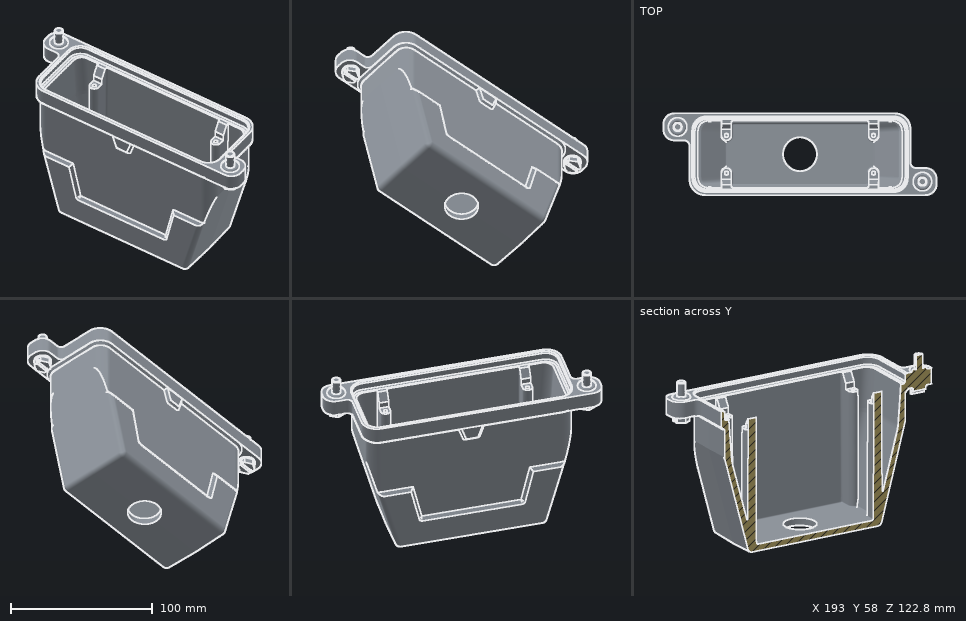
import cadquery as cq
import math


flange_x = 156.1
flange_y = 57.9
flange_height = 12.2
flange_corner = 11.2
flare_height = 2.3

ear_end_x = 96.5
ear_width = 19.3
ear_corner = 8.0
ear_neck_fillet = 3.9
screw_x = 86.37
screw_y = flange_y / 2 - ear_width / 2

shell_x = 151.0
shell_y = 53.3
shell_corner = 8.9
outside_draft = 1.0
bend_z = -35.0
bottom_z = -111.0
bottom_x = 110.0

skirt_y = 58.0
skirt_depth = (skirt_y - shell_y) / 2
skirt_edge_fillet = 3.9
notch_slope = 47
skirt_shoulder_z = -58.5
skirt_overlap = 0.5
skirt_notch_z = -86.0
notch_top_x = 85.3
notch_bottom_x = 72.5

tab_top_x = 21.6
tab_bottom_x = 11.5
tab_top_z = -flange_height + 2.3
tab_bottom_z = -24.3
tab_corner = 2.3
tab_depth = 2.1
tab_bevel = 2.1

recess_x = 150.5
recess_y = 51.7
recess_corner = 9.3
recess_depth = 7.5
recess_rim_chamfer = 1.0
recess_foot_bevel = 1.2
cavity_x = 144.0
cavity_y = 47.0
cavity_corner = 7.0
cavity_bend_x = 139.7
cavity_bend_z = -39.5
cavity_bend_fillet = 19.3
floor_x = 105.8
floor_y = 44.0
floor_z = -105.2
floor_fillet = 1.2
cable_hole_diameter = 23.7

post_x = 52.0
post_hole_y = 13.3
post_radius = 3.5
post_foot_radius = 3.9
post_root_fillet = 1.2
post_seat_z = -19.0
post_hook_y = 17.5
post_hook_low_z = -14.3
post_hook_peak_y = 21.6
post_hook_peak_z = -recess_depth
post_hole_diameter = 2.7
post_hole_depth = 9.6

shank_diameter = 6.2
shank_top_z = 11.8
shank_chamfer = 0.5
seal_ring_diameter = 9.5
seal_cord_diameter = 3.7
head_washer_diameter = 12.4
head_washer_thickness = 0.8
head_flats = 10.6
head_bottom_z = -17.5
head_slot_width = 2.0
head_slot_depth = 2.5


def rounded_box(size_x, size_y, corner, top_z, base_z):
    """Upright box with rounded vertical edges."""
    return (
        cq.Workplane("XY", origin=(0, 0, base_z))
        .rect(size_x, size_y)
        .extrude(top_z - base_z)
        .edges("|Z")
        .fillet(corner)
    )


def along_y(points, width):
    """Closed X-Z outline extruded symmetrically across Y."""
    return cq.Workplane("XZ").polyline(points).close().extrude(width / 2, both=True)


def towards_front(sketch, start_y, depth, taper):
    """X-Z sketch extruded in the -Y direction, narrowing by the taper angle."""
    return cq.Workplane("XZ", origin=(0, start_y, 0)).placeSketch(sketch).extrude(depth, taper=taper)


def mirrored_outline(half_points):
    """Closed outline from its +X half, listed from top to bottom."""
    return half_points + [(-x, z) for x, z in reversed(half_points)]


def closed(points):
    """Outline with its first point repeated at the end."""
    return points + points[:1]


def end_wall_x(z):
    """Half length of the outside of the shell at a height below the bend."""
    fraction = (bend_z - z) / (bend_z - bottom_z)
    return (shell_x + fraction * (bottom_x - shell_x)) / 2


def both_sides(solid):
    """A solid together with its mirror image on the opposite long side."""
    return solid.union(solid.mirror("XZ"))


def flange():
    inner_y = flange_y / 2 - ear_width
    body = cq.Workplane("XY").rect(flange_x, flange_y).extrude(-flange_height)
    for side in (-1, 1):
        ear = (
            cq.Workplane("XY", origin=(side * ear_end_x / 2, -side * screw_y, 0))
            .rect(ear_end_x, ear_width)
            .extrude(-flange_height)
        )
        body = body.union(ear)
    neck_edges = [(-flange_x / 2, inner_y), (flange_x / 2, -inner_y)]
    free_corners = [(-flange_x / 2, -flange_y / 2), (flange_x / 2, flange_y / 2)]
    ear_corners = []
    for y in (inner_y, flange_y / 2):
        ear_corners += [(-ear_end_x, y), (ear_end_x, -y)]
    for places, radius in (
        (neck_edges, ear_neck_fillet),
        (free_corners, flange_corner),
        (ear_corners, ear_corner),
    ):
        for x, y in places:
            body = body.edges(cq.NearestToPointSelector((x, y, -flange_height / 2))).fillet(radius)
    return body


def flare():
    """Slopes from the flange down to the shell wall on all sides."""
    spread = flare_height
    outline = cq.Sketch().rect(shell_x + 2 * spread, shell_y + 2 * spread)
    outline = outline.vertices().fillet(shell_corner + spread)
    return (
        cq.Workplane("XY", origin=(0, 0, -flange_height))
        .placeSketch(outline)
        .extrude(-flare_height, taper=45)
    )


def shell():
    """Rounded box trimmed to the leaning end walls."""
    lower_z = skirt_shoulder_z - skirt_overlap
    upper = cq.Sketch().push([(0, lower_z / 2)]).rect(shell_x, -lower_z)
    box = both_sides(towards_front(upper, 0, shell_y / 2, outside_draft))
    for x in (-shell_x / 2, shell_x / 2):
        for y in (-shell_y / 2, shell_y / 2):
            corner = cq.NearestToPointSelector((x, y, lower_z / 2))
            box = box.edges(corner).fillet(shell_corner)
    lean = cq.Sketch().polygon(closed(mirrored_outline([
        (end_wall_x(0), 0),
        (end_wall_x(lower_z), lower_z),
    ])))
    return box.intersect(both_sides(towards_front(lean, 0, shell_y, outside_draft)))


def skirt():
    """Thicker lower half with a trapezoidal notch in each long side."""
    top_z = skirt_shoulder_z + skirt_overlap
    profile = cq.Sketch().polygon(closed(mirrored_outline([
        (end_wall_x(top_z), top_z),
        (bottom_x / 2, bottom_z),
    ])))
    half = towards_front(profile, 0, skirt_y / 2, outside_draft)
    outer_edges = cq.selectors.BoxSelector(
        (-shell_x, -skirt_y, bottom_z - 2),
        (shell_x, -2, skirt_shoulder_z - 2),
    )
    half = half.edges(outer_edges).fillet(skirt_edge_fillet)
    return both_sides(half.cut(skirt_notch()))


def skirt_notch():
    """Cutter that widens outwards, so it leaves sloping edges around the notch."""
    outline = cq.Sketch().polygon(closed(mirrored_outline([
        (shell_x, 0),
        (shell_x, skirt_shoulder_z),
        (notch_top_x / 2, skirt_shoulder_z),
        (notch_bottom_x / 2, skirt_notch_z),
    ])))
    return towards_front(outline, -shell_y / 2, 2 * skirt_depth, -notch_slope)


def tab():
    """Bevelled tab that continues the flange face down the shell wall."""
    outline = cq.Sketch().polygon(closed(mirrored_outline([
        (tab_top_x / 2, tab_top_z),
        (tab_bottom_x / 2, tab_bottom_z),
    ])))
    outline = outline.vertices("<Y").fillet(tab_corner)
    slope = math.degrees(math.atan(tab_bevel / tab_depth))
    return towards_front(outline, -shell_y / 2, tab_depth, slope)


def recess():
    """Stepped opening of the rim, with a chamfered mouth and a bevelled foot."""
    well = rounded_box(recess_x, recess_y, recess_corner, 0, -recess_depth)
    well = well.faces("<Z").edges().chamfer(recess_foot_bevel)
    spread = 2 * recess_rim_chamfer
    mouth = cq.Sketch().rect(recess_x + spread, recess_y + spread)
    mouth = mouth.vertices().fillet(recess_corner + recess_rim_chamfer)
    return well.union(cq.Workplane("XY").placeSketch(mouth).extrude(-recess_rim_chamfer, taper=45))


def cavity():
    """Hollow below the recess, with drafted walls, leaving the screw posts standing."""
    profile = mirrored_outline([
        (cavity_x / 2, -recess_depth),
        (cavity_bend_x / 2, cavity_bend_z),
        (floor_x / 2, floor_z),
    ])
    wedge = mirrored_outline([(cavity_y / 2, -recess_depth), (floor_y / 2, floor_z)])
    space = along_y(profile, cavity_y)
    for side in (-1, 1):
        bend = cq.NearestToPointSelector((side * cavity_bend_x / 2, 0, cavity_bend_z))
        space = space.edges(bend).fillet(cavity_bend_fillet)
    long_walls = cq.Workplane("YZ").polyline(wedge).close().extrude(cavity_x / 2, both=True)
    space = space.intersect(long_walls)
    corner_edges = space.faces("<Y or >Y").edges("not (<Z or >Z)")
    space = corner_edges.fillet(cavity_corner)
    for side in (-1, 1):
        space = space.cut(both_sides(post(side * post_x)))
        inner_x = side * (post_x - post_radius)
        for wall_y in (-cavity_y / 2, cavity_y / 2):
            root = cq.NearestToPointSelector((inner_x, wall_y, floor_z / 2))
            space = space.edges(root).fillet(post_root_fillet)
    return space.faces("<Z").edges().fillet(floor_fillet)


def post(x):
    """Screw post against the -Y cavity wall, with a sloping hook above its seat."""
    wall_y = -shell_y / 2
    tip_y = -post_hole_y
    base_z = (floor_z + bottom_z) / 2
    height = post_hook_peak_z - base_z
    column = (
        cq.Workplane("XY", origin=(x, 0, base_z))
        .moveTo(-post_foot_radius, wall_y)
        .lineTo(-post_foot_radius, tip_y)
        .threePointArc((0, tip_y + post_foot_radius), (post_foot_radius, tip_y))
        .lineTo(post_foot_radius, wall_y)
        .close()
        .extrude(height, taper=math.degrees(math.atan((post_foot_radius - post_radius) / height)))
    )
    above_seat = (
        cq.Workplane("YZ", origin=(x, 0, 0))
        .moveTo(0, post_seat_z)
        .lineTo(-post_hook_y, post_seat_z)
        .lineTo(-post_hook_y, post_hook_low_z)
        .lineTo(-post_hook_peak_y, post_hook_peak_z)
        .lineTo(0, post_hook_peak_z)
        .close()
        .extrude(2 * post_radius, both=True)
    )
    hole = (
        cq.Workplane("XY", origin=(x, -post_hole_y, post_seat_z))
        .circle(post_hole_diameter / 2)
        .extrude(-post_hole_depth)
    )
    return column.cut(above_seat).cut(hole)


def screw():
    """Captive screw on the Z axis, from its slotted hexagon head up to its tip."""
    shank = (
        cq.Workplane("XY", origin=(0, 0, -flange_height))
        .circle(shank_diameter / 2)
        .extrude(shank_top_z + flange_height)
        .faces(">Z")
        .chamfer(shank_chamfer)
    )
    seal_ring = (
        cq.Workplane("XZ", origin=(seal_ring_diameter / 2, 0, 0))
        .circle(seal_cord_diameter / 2)
        .revolve(360, (-seal_ring_diameter / 2, 0), (-seal_ring_diameter / 2, 1))
    )
    washer = (
        cq.Workplane("XY", origin=(0, 0, -flange_height))
        .circle(head_washer_diameter / 2)
        .extrude(-head_washer_thickness)
    )
    head_corners = head_flats / math.cos(math.pi / 6)
    head = (
        cq.Workplane("XY", origin=(0, 0, head_bottom_z))
        .transformed(rotate=(0, 0, 90))
        .polygon(6, head_corners)
        .extrude(-flange_height - head_bottom_z)
    )
    slot = (
        cq.Workplane("XY", origin=(0, 0, head_bottom_z))
        .rect(head_corners, head_slot_width)
        .extrude(head_slot_depth)
    )
    return shank.union(seal_ring).union(washer).union(head).cut(slot)


hood = flange().union(flare()).union(shell()).union(skirt()).union(both_sides(tab()))
hood = hood.cut(recess()).cut(cavity())

cable_hole = (
    cq.Workplane("XY", origin=(0, 0, bottom_z))
    .circle(cable_hole_diameter / 2)
    .extrude(floor_z - bottom_z)
)
hood = hood.cut(cable_hole)

for side in (-1, 1):
    hood = hood.union(screw().translate((side * screw_x, -side * screw_y, 0)))

result = hood